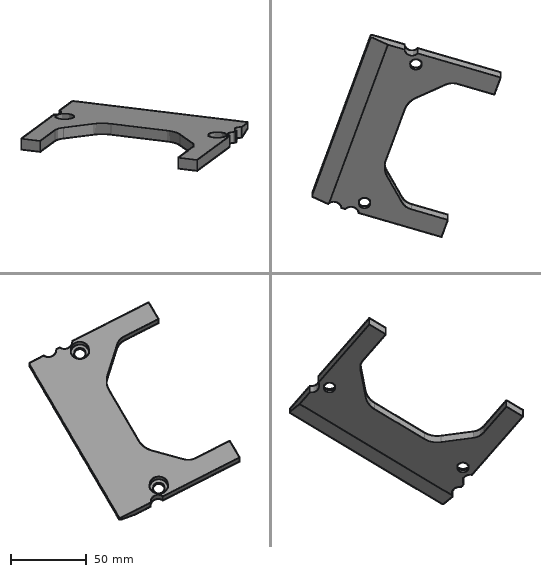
import cadquery as cq

width = 125.0
length = 90.0
thickness = 7.6
half_width = width / 2
back_corner_radius = 1.2

back_edge_thickness = 3.6
bevel_length = 11.8

leg_width = 13.5
web_length = 37.4
shoulder_size = 22.8
inner_corner_radius = 14.6
outer_corner_radius = 10.5

hole_inset = 8.2
hole_from_back = 33.9
hole_diameter = 7.6
counterbore_diameter = 12.2
counterbore_depth = 5.1

notch_radius = 5.0
notch_depth = 3.0
notch_from_back = 27.9
extra_notch_from_back = 15.9


def make_plate():
    plate = cq.Workplane("XY").box(width, length, thickness, centered=(True, True, False))
    plate = plate.translate((0, -length / 2, 0))
    return plate.edges("|Z and >Y").fillet(back_corner_radius)


def make_bevel():
    """Wedge removed from under the back edge."""
    return (
        cq.Workplane("YZ")
        .polyline([(-bevel_length, 0), (0, thickness - back_edge_thickness), (0, 0)])
        .close()
        .extrude(half_width, both=True)
    )


def make_opening():
    outer_x = half_width - leg_width
    inner_x = outer_x - shoulder_size
    shoulder_y = -web_length - shoulder_size
    outline = [
        (-outer_x, -length),
        (-outer_x, shoulder_y),
        (-inner_x, -web_length),
        (inner_x, -web_length),
        (outer_x, shoulder_y),
        (outer_x, -length),
    ]
    opening = cq.Workplane("XY").polyline(outline).close().extrude(thickness)
    opening = opening.edges("|Z and (not <Y) and (not >Y)").fillet(outer_corner_radius)
    return opening.edges("|Z and >Y").fillet(inner_corner_radius)


def make_notch(side, from_back):
    """Cylinder biting into the left (side -1) or right (side 1) edge."""
    center_x = side * (half_width + notch_radius - notch_depth)
    return cq.Workplane("XY").center(center_x, -from_back).circle(notch_radius).extrude(thickness)


result = make_plate().cut(make_bevel()).cut(make_opening())

for side, from_back in [(-1, notch_from_back), (1, notch_from_back), (1, extra_notch_from_back)]:
    result = result.cut(make_notch(side, from_back))

hole_x = half_width - hole_inset
result = (
    result.faces(">Z")
    .workplane(origin=(0, 0, thickness))
    .pushPoints([(-hole_x, -hole_from_back), (hole_x, -hole_from_back)])
    .cboreHole(hole_diameter, counterbore_diameter, counterbore_depth)
)